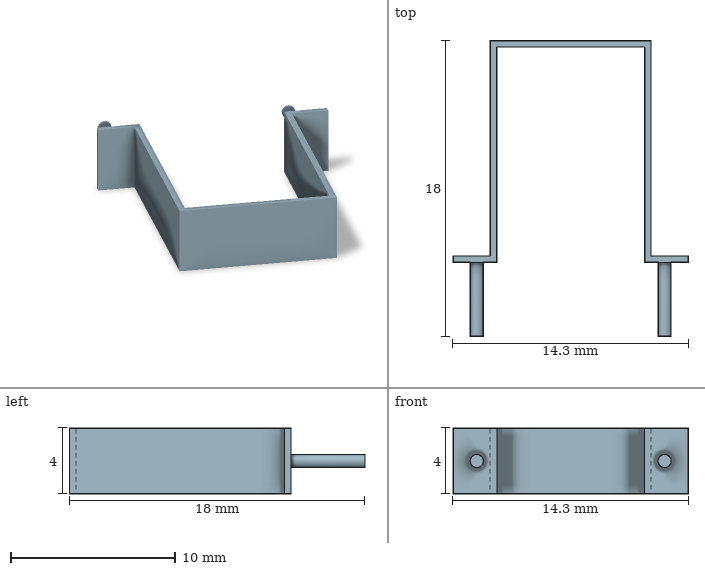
import cadquery as cq

strip_height = 4.0
sheet_thickness = 0.4
inner_width = 9.0
frame_depth = 13.5
overall_width = 14.32

pin_diameter = 0.8
pin_length = 4.5
pin_spacing = 11.43

half_inner = inner_width / 2
half_outer = half_inner + sheet_thickness
half_overall = overall_width / 2


def make_strip():
    """Flat-bottomed U with an outward foot at the open end of each leg."""
    right_half = [
        (half_outer, frame_depth),
        (half_outer, sheet_thickness),
        (half_overall, sheet_thickness),
        (half_overall, 0),
        (half_inner, 0),
        (half_inner, frame_depth - sheet_thickness),
    ]
    left_half = [(-x, y) for x, y in reversed(right_half)]
    return (
        cq.Workplane("XY")
        .polyline(right_half + left_half)
        .close()
        .extrude(strip_height / 2, both=True)
    )


def make_pins():
    """Round pins standing out of the feet toward -Y, at mid height."""
    return (
        cq.Workplane("XZ")
        .pushPoints([(-pin_spacing / 2, 0), (pin_spacing / 2, 0)])
        .circle(pin_diameter / 2)
        .extrude(pin_length)
    )


result = make_strip().union(make_pins())